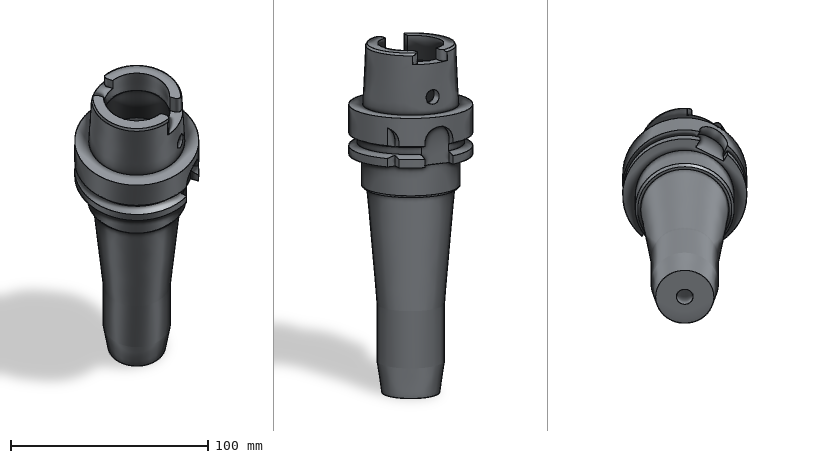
import cadquery as cq
import math

total_height = 182.0
nose_top = 16.2
shank_top = 46.0
neck_top = 107.0
collar_edge = 108.3
flange_bottom = 124.3
groove_lip_bottom = 128.7
groove_bottom = 130.3
groove_top = 134.0
groove_lip_top = 135.4
flange_top = 150.2
rim_chamfer_height = 1.3

nose_radius = 14.7
shank_radius = 17.1
neck_radius = 22.4
collar_chamfer_radius = 23.8
collar_radius = 25.1
flange_radius = 31.5
groove_radius = 27.3
taper_base_radius = 24.4
taper_top_radius = 23.0
rim_radius = 22.2

mouth_radius = 16.7
mouth_depth = 12.7
recess_radius = 18.5
recess_slope = recess_radius - mouth_radius
bore_floor = 147.5
pilot_radius = 9.1
pilot_floor = 127.4
coolant_radius = 4.2

notch_width = 12.5
notch_corner_radius = 2.5
left_notch_floor = 176.2
right_notch_floor = 172.0

cross_hole_diameter = 7.5
cross_hole_height = 158.9
keyway_width = 16.0
keyway_top = 145.0
keyway_floor = 26.2

pocket_floor = 20.2
pocket_inner_edge = 19.8
pocket_top = 145.6

overcut = 3.6


def make_body():
    return (
        cq.Workplane("XZ")
        .polyline([
            (0, 0),
            (nose_radius, 0),
            (shank_radius, nose_top),
            (shank_radius, shank_top),
            (neck_radius, neck_top),
            (collar_chamfer_radius, neck_top),
            (collar_radius, collar_edge),
            (collar_radius, flange_bottom),
            (flange_radius, flange_bottom),
            (flange_radius, groove_lip_bottom),
            (groove_radius, groove_bottom),
            (groove_radius, groove_top),
            (flange_radius, groove_lip_top),
            (flange_radius, flange_top),
            (taper_base_radius, flange_top),
            (taper_top_radius, total_height - rim_chamfer_height),
            (rim_radius, total_height),
            (0, total_height),
        ])
        .close()
        .revolve(360, (0, 0), (0, 1))
    )


def make_bore():
    recess_top = total_height - mouth_depth
    return (
        cq.Workplane("XZ")
        .polyline([
            (0, 0),
            (coolant_radius, 0),
            (coolant_radius, pilot_floor),
            (pilot_radius, pilot_floor),
            (pilot_radius, bore_floor),
            (recess_radius, bore_floor),
            (recess_radius, recess_top - recess_slope),
            (mouth_radius, recess_top),
            (mouth_radius, total_height),
            (0, total_height),
        ])
        .close()
        .revolve(360, (0, 0), (0, 1))
    )


def make_notch(side, floor):
    """Radial notch whose walls flare outward in arcs tangent to the straight sides."""
    half_width = notch_width / 2
    center_y = half_width + notch_corner_radius
    center_x = math.sqrt((taper_top_radius - notch_corner_radius) ** 2 - center_y ** 2)
    tangent_scale = taper_top_radius / (taper_top_radius - notch_corner_radius)
    end_x = center_x * tangent_scale
    end_y = center_y * tangent_scale
    middle_angle = (math.atan2(center_y, center_x) - math.pi / 2) / 2
    middle_x = center_x + notch_corner_radius * math.cos(middle_angle)
    middle_y = center_y + notch_corner_radius * math.sin(middle_angle)
    outer_x = taper_top_radius + overcut
    return (
        cq.Workplane("XY")
        .workplane(offset=floor)
        .moveTo(0, -half_width)
        .lineTo(side * center_x, -half_width)
        .threePointArc((side * middle_x, -middle_y), (side * end_x, -end_y))
        .lineTo(side * outer_x, -end_y)
        .lineTo(side * outer_x, end_y)
        .lineTo(side * end_x, end_y)
        .threePointArc((side * middle_x, middle_y), (side * center_x, half_width))
        .lineTo(0, half_width)
        .close()
        .extrude(total_height - floor + overcut)
    )


def make_arched_slot(side, floor, center_y, top):
    """Slot open outward along X, with a flat floor and a round upper end."""
    half_width = keyway_width / 2
    arch_center = top - half_width
    return (
        cq.Workplane("YZ")
        .workplane(offset=side * floor)
        .moveTo(center_y - half_width, flange_bottom)
        .lineTo(center_y - half_width, arch_center)
        .threePointArc((center_y, top), (center_y + half_width, arch_center))
        .lineTo(center_y + half_width, flange_bottom)
        .close()
        .extrude(side * (flange_radius - floor + overcut))
    )


def make_keyway(side):
    return make_arched_slot(side, keyway_floor, 0, keyway_top)


def make_side_pocket():
    center_y = pocket_inner_edge + keyway_width / 2
    return make_arched_slot(-1, pocket_floor, center_y, pocket_top)


cross_hole = (
    cq.Workplane("YZ")
    .center(0, cross_hole_height)
    .circle(cross_hole_diameter / 2)
    .extrude(flange_radius, both=True)
)

result = make_body().cut(make_bore()).cut(cross_hole)
for side, notch_floor in ((-1, left_notch_floor), (1, right_notch_floor)):
    result = result.cut(make_notch(side, notch_floor))
    result = result.cut(make_keyway(side))
result = result.cut(make_side_pocket())